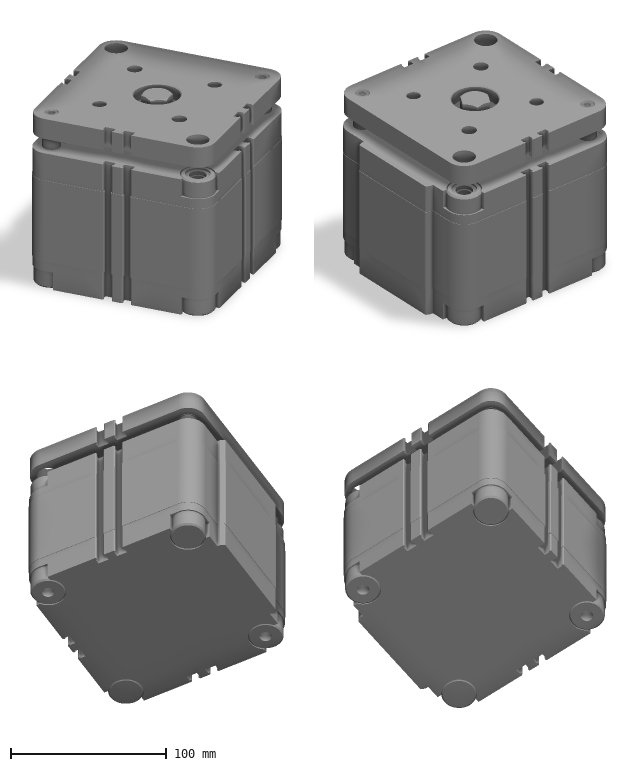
import cadquery as cq
import math


cap_height = 19.3
tube_height = 57.7
gap = 10.0
plate_thickness = 14.2
tube_top = cap_height + tube_height
housing_top = tube_top + cap_height
plate_bottom = housing_top + gap
plate_top = plate_bottom + plate_thickness

tube_half = 64.0
cap_half = 63.7
plate_half = 63.2
corner_offset = 51.3
sensor_rail_rise = 5.0
rail_base_half = 34.8
rail_upper_half = 33.5
rail_straight = 1.9
rail_fillet = 1.2

slot_offset = 6.8
slot_head_width = 7.3
slot_floor = 58.4
slot_lip = 62.0

side_slot = (6.4, 5.3)
front_tube_slot = (5.9, 4.8)
front_cap_slot = (7.0, 5.9)
front_plate_slot = (6.0, 5.9)

boss_diameter = 23.0
boss_chamfer = 1.0
boss_height = 12.4
pocket_inset = 6.4

bolt_hole_diameter = 8.0
bolt_hole_steps = [(16.5, 1.0), (11.5, 3.7), (9.0, 9.0)]

rod_diameter = 25.0
rod_flats = 21.8
rod_flat_start = 1.3
guide_rod_diameter = 12.0
guide_collar_diameter = 13.0
guide_collar_height = 0.5
guide_recess_diameter = 18.0
guide_recess_depth = 0.1
rod_engagement = cap_height

bolt_recess_diameter = 30.6
bolt_recess_depth = 9.3
bolt_recess_chamfer = 0.7
washer_diameter = 24.0
washer_thickness = 0.7
hex_across_flats = 18.0
mount_hole_offset = 28.0
mount_hole_diameter = 10.0
thread_diameter = 9.0
access_hole_diameter = 15.0
screw_recess_diameter = 8.4
screw_recess_depth = 0.8
screw_recess_mouth = 9.8
screw_socket_flats = 4.3
screw_socket_depth = 0.8
screw_socket_rim_diameter = 5.6
screw_socket_rim_depth = 0.3

all_corners = [(sx * corner_offset, sy * corner_offset) for sx in (-1, 1) for sy in (-1, 1)]
guide_corners = [corner for corner in all_corners if corner[0] * corner[1] > 0]
bolt_corners = [corner for corner in all_corners if corner[0] * corner[1] < 0]


def cylinder(diameter, bottom, height, centres=((0, 0),)):
    """Upright cylinders of one diameter, one at each centre."""
    disc = cq.Workplane("XY", origin=(0, 0, bottom)).pushPoints(centres).circle(diameter / 2)
    return disc.extrude(height)


def hexagon(across_flats, bottom, height, centres=((0, 0),)):
    """Upright hexagonal prisms with flats facing +X and -X."""
    across_corners = across_flats / math.cos(math.pi / 6)
    prism = cq.Workplane("XY", origin=(0, 0, bottom)).transformed(rotate=(0, 0, 90))
    turned = [(y, -x) for x, y in centres]
    return prism.pushPoints(turned).polygon(6, across_corners).extrude(height)


def countersink(mouth, bore, centres=((0, 0),)):
    """Cones that break the plate's top edge of a bore at 45 degrees, widening it to the mouth."""
    depth = (mouth - bore) / 2
    cone = cq.Solid.makeCone(bore / 2, mouth / 2, depth, pnt=cq.Vector(0, 0, plate_top - depth))
    return cq.Workplane(cq.Compound.makeCompound([cone.translate(cq.Vector(x, y, 0)) for x, y in centres]))


def rounded_block(half, bottom, height):
    """Square block whose corner roundings are centred on the corner axes."""
    block = cq.Workplane("XY", origin=(0, 0, bottom)).rect(2 * half, 2 * half).extrude(height)
    return block.edges("|Z").fillet(half - corner_offset)


def slot_pair(half, widths, bottom, height, angle):
    """Cutter for the two T-slots of the -Y face, turned about Z to another face."""
    mouth, throat = widths
    head = slot_head_width / 2
    chamfer_end = (mouth - throat) / 2 - half
    outline = [
        (-mouth / 2, -half), (-throat / 2, chamfer_end), (-throat / 2, -slot_lip),
        (-head, -slot_lip), (-head, -slot_floor), (head, -slot_floor), (head, -slot_lip),
        (throat / 2, -slot_lip), (throat / 2, chamfer_end), (mouth / 2, -half),
    ]
    cutter = cq.Workplane("XY", origin=(0, 0, bottom))
    for centre in (-slot_offset, slot_offset):
        cutter = cutter.polyline([(x + centre, y) for x, y in outline]).close()
    return cutter.extrude(height).rotate((0, 0, 0), (0, 0, 1), angle)


def slotted_block(half, bottom, height, front_slot):
    """Rounded block with a slot pair on its -Y, -X and +X faces."""
    block = rounded_block(half, bottom, height)
    for angle, widths in ((0, front_slot), (-90, side_slot), (90, side_slot)):
        block = block.cut(slot_pair(half, widths, bottom, height, angle))
    return block


def sensor_rail(half, bottom, height):
    """Rail along the +Y face with sloping flanks and rounded outer edges."""
    outer = half + sensor_rail_rise
    shoulder = half + rail_straight
    rail = cq.Workplane("XY", origin=(0, 0, bottom)).polyline([
        (-rail_base_half, slot_floor), (-rail_base_half, shoulder), (-rail_upper_half, outer),
        (rail_upper_half, outer), (rail_base_half, shoulder), (rail_base_half, slot_floor),
    ]).close().extrude(height)
    return rail.edges("|Z and >Y").fillet(rail_fillet)


def housing_section(half, bottom, height, front_slot):
    """One length of the housing: slotted block and its rail."""
    return slotted_block(half, bottom, height, front_slot).union(sensor_rail(half, bottom, height))


def corner_boss(centre, bottom, end_face):
    """Cutter that leaves a round boss in a corner pocket, with a V-groove all round its end face."""
    x, y = centre
    reach = tube_half - corner_offset + pocket_inset
    shift = reach / 2 - pocket_inset
    pocket = cq.Workplane("XY", origin=(0, 0, bottom)).center(
        x + math.copysign(shift, x), y + math.copysign(shift, y)
    ).rect(reach, reach).extrude(boss_height)
    blank = cylinder(boss_diameter, bottom, boss_height, [centre])
    boss = blank.faces(end_face).chamfer(boss_chamfer)
    return pocket.union(blank).cut(boss)


def make_housing():
    body = housing_section(cap_half, 0, cap_height, front_cap_slot)
    body = body.union(housing_section(tube_half, cap_height, tube_height, front_tube_slot))
    body = body.union(housing_section(cap_half, tube_top, cap_height, front_cap_slot))

    for centre in all_corners:
        body = body.cut(corner_boss(centre, 0, "<Z"))
    for centre in bolt_corners:
        body = body.cut(corner_boss(centre, housing_top - boss_height, ">Z"))

    for diameter, depth in bolt_hole_steps:
        body = body.cut(cylinder(diameter, housing_top - depth, depth, bolt_corners))
    body = body.cut(cylinder(bolt_hole_diameter, 0, housing_top, bolt_corners))

    recess_bottom = housing_top - guide_recess_depth
    bore_bottom = housing_top - rod_engagement
    body = body.cut(cylinder(guide_recess_diameter, recess_bottom, guide_recess_depth, guide_corners))
    body = body.cut(cylinder(guide_rod_diameter, bore_bottom, rod_engagement, guide_corners))
    return body.cut(cylinder(rod_diameter, bore_bottom, rod_engagement))


def make_plate():
    plate = slotted_block(plate_half, plate_bottom, plate_thickness, front_plate_slot)

    plain = [(-mount_hole_offset, mount_hole_offset), (mount_hole_offset, -mount_hole_offset)]
    threaded = [(-mount_hole_offset, -mount_hole_offset), (mount_hole_offset, mount_hole_offset)]
    plate = plate.cut(cylinder(mount_hole_diameter, plate_bottom, plate_thickness, plain))
    plate = plate.cut(cylinder(thread_diameter, plate_bottom, plate_thickness, threaded))
    plate = plate.cut(countersink(mount_hole_diameter, thread_diameter, threaded))

    plate = plate.cut(cylinder(access_hole_diameter, plate_bottom, plate_thickness, bolt_corners))

    screw_face = plate_top - screw_recess_depth
    plate = plate.cut(cylinder(screw_recess_diameter, screw_face, screw_recess_depth, guide_corners))
    plate = plate.cut(countersink(screw_recess_mouth, screw_recess_diameter, guide_corners))
    socket_bottom = screw_face - screw_socket_depth
    plate = plate.cut(hexagon(screw_socket_flats, socket_bottom, screw_socket_depth, guide_corners))

    rim_bottom = screw_face - screw_socket_rim_depth
    plate = plate.cut(cylinder(screw_socket_rim_diameter, rim_bottom, screw_socket_rim_depth, guide_corners))

    recess_bottom = plate_top - bolt_recess_depth
    plate = plate.cut(cylinder(bolt_recess_diameter, recess_bottom, bolt_recess_depth))
    recess_mouth = bolt_recess_diameter + 2 * bolt_recess_chamfer
    return plate.cut(countersink(recess_mouth, bolt_recess_diameter))


def make_rod_bolt():
    """Washer and hexagon head in the recess; the head's corners are turned off at the top."""
    recess_bottom = plate_top - bolt_recess_depth
    washer = cylinder(washer_diameter, recess_bottom, washer_thickness)
    head = hexagon(hex_across_flats, recess_bottom, bolt_recess_depth)
    across_corners = hex_across_flats / math.cos(math.pi / 6)
    corner_rise = (across_corners - hex_across_flats) / 2
    turned = cylinder(across_corners, recess_bottom, bolt_recess_depth)
    turned = turned.faces(">Z").chamfer(corner_rise * math.tan(math.pi / 6), corner_rise)
    return washer.union(head.intersect(turned))


def make_piston_rod():
    """Round rod with two flats facing -Y and +Y above the housing."""
    bottom = housing_top - rod_engagement
    rod = cylinder(rod_diameter, bottom, plate_bottom - bottom)
    flat_bottom = housing_top + rod_flat_start
    flat_height = plate_bottom - flat_bottom
    band = cylinder(rod_diameter, flat_bottom, flat_height)
    keep = cq.Workplane("XY", origin=(0, 0, flat_bottom)).rect(rod_diameter, rod_flats).extrude(flat_height)
    return rod.cut(band.cut(keep))


def make_moving_unit():
    bottom = housing_top - rod_engagement
    unit = make_plate().union(make_rod_bolt()).union(make_piston_rod())
    unit = unit.union(cylinder(guide_rod_diameter, bottom, plate_bottom - bottom, guide_corners))
    collar_bottom = plate_bottom - guide_collar_height
    return unit.union(cylinder(guide_collar_diameter, collar_bottom, guide_collar_height, guide_corners))


housing = make_housing()
moving_unit = make_moving_unit()
result = cq.Compound.makeCompound([housing.val(), moving_unit.val()])